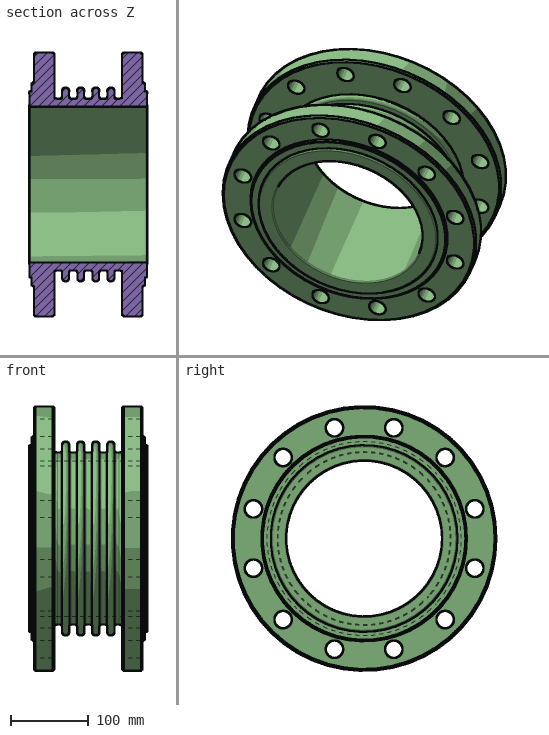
import cadquery as cq
import math

half_length = 152.0 / 2
bore_radius = 200.0 / 2
bore_edge_fillet = 1.7

flange_radius = 170
flange_thickness = 26.5
flange_chamfer = 2.5
bolt_count = 12
bolt_circle_radius = 147.2
bolt_hole_diameter = 22.0

collar_radius = 240.0 / 2
collar_fillet = 2.0
collar_height = 3.0
ring_radius = 260.0 / 2
ring_foot_chamfer = 2.0
ring_height = 3.0

tube_radius = 221.5 / 2
crest_radius = 124.8
convolution_count = 4
convolution_pitch = 19.5
convolution_width = 9.5
root_fillet = 2.0
flare_length = 4.0
flare_radius = 8.5

ring_face = half_length - collar_height
flange_outer_face = ring_face - ring_height
flange_inner_face = flange_outer_face - flange_thickness


def disc(radius, start, end):
    """Solid disc on the X axis between two X positions."""
    return cq.Workplane("YZ").workplane(offset=start).circle(radius).extrude(end - start)


def flange():
    """Flange on the +X end, with its bolt holes and stepped sealing face."""
    plate = disc(flange_radius, flange_inner_face, flange_outer_face)
    plate = plate.edges().chamfer(flange_chamfer)
    hole_step = 360 / bolt_count
    holes = (
        cq.Workplane("YZ")
        .workplane(offset=flange_inner_face)
        .polarArray(bolt_circle_radius, hole_step / 2, 360, bolt_count)
        .circle(bolt_hole_diameter / 2)
        .extrude(flange_thickness)
    )
    ring_foot = (flange_outer_face, ring_radius + ring_foot_chamfer)
    ring_shoulder = (flange_outer_face + ring_foot_chamfer, ring_radius)
    ring = (
        cq.Workplane("XY")
        .moveTo(flange_outer_face, 0)
        .lineTo(*ring_foot)
        .lineTo(*ring_shoulder)
        .lineTo(ring_face, ring_radius)
        .lineTo(ring_face, 0)
        .close()
        .revolve(360, (0, 0, 0), (1, 0, 0))
    )
    collar = disc(collar_radius, ring_face, half_length).faces(">X").edges().fillet(collar_fillet)
    return plate.cut(holes).union(ring).union(collar)


def bellows():
    """Tube with round-topped convolutions and a flare into each flange."""
    half_width = convolution_width / 2
    root_half_width = half_width + root_fillet
    root_top = tube_radius + root_fillet
    crest_base = crest_radius - half_width
    root_bend = root_fillet * (1 - math.sqrt(0.5))
    flare_height = flare_radius - math.sqrt(flare_radius**2 - flare_length**2)
    flare_start = flange_inner_face - flare_length
    flare_end = (flange_inner_face, tube_radius + flare_height)

    profile = (
        cq.Workplane("XY")
        .moveTo(-flange_inner_face, 0)
        .lineTo(-flange_inner_face, tube_radius + flare_height)
        .radiusArc((-flare_start, tube_radius), -flare_radius)
    )
    for index in range(convolution_count):
        center = (index - (convolution_count - 1) / 2) * convolution_pitch
        profile = (
            profile.lineTo(center - root_half_width, tube_radius)
            .threePointArc(
                (center - half_width - root_bend, tube_radius + root_bend),
                (center - half_width, root_top),
            )
            .lineTo(center - half_width, crest_base)
            .threePointArc((center, crest_radius), (center + half_width, crest_base))
            .lineTo(center + half_width, root_top)
            .threePointArc(
                (center + half_width + root_bend, tube_radius + root_bend),
                (center + root_half_width, tube_radius),
            )
        )
    profile = (
        profile.lineTo(flare_start, tube_radius)
        .radiusArc(flare_end, -flare_radius)
        .lineTo(flange_inner_face, 0)
        .close()
    )
    return profile.revolve(360, (0, 0, 0), (1, 0, 0))


right_flange = flange()
left_flange = right_flange.mirror("YZ")
body = bellows().union(right_flange).union(left_flange)

body = body.cut(disc(bore_radius, -half_length, half_length))
rims = cq.selectors.RadiusNthSelector(0)
result = body.faces("<X or >X").edges(rims).fillet(bore_edge_fillet)